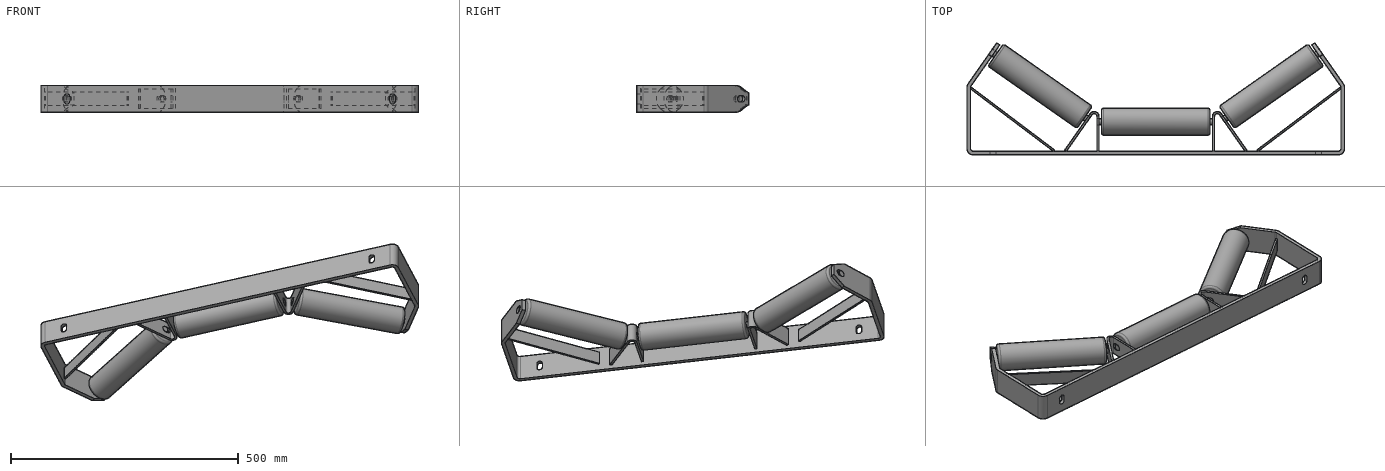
import cadquery as cq
import math

SPAN = 830.0
TILT = 35.0

STRAP_HEIGHT = 60.0
STRAP_THICKNESS = 8.0
STRAP_BEND_RADIUS = 14.0
SHOULDER_Y = 153.0
ARM_TIP_Y = 246.5
TIP_CHAMFER_LENGTH = 31.5
TIP_CHAMFER_HEIGHT = 17.0

MOUNT_SLOT_WIDTH = 12.5
MOUNT_SLOT_LENGTH = 22.0
MOUNT_SLOT_X = 358.0

ROLLER_DIAMETER = 60.0
ROLLER_LENGTH = 239.0
ROLLER_EDGE_RADIUS = 5.0
SHAFT_DIAMETER = 14.0
SHAFT_SLOT_LENGTH = 20.0
ROLLER_GAP = 5.0
CENTER_ROLLER_Y = 73.0
WING_ROLLER_X = 254.0
WING_ROLLER_Y = 151.0

BRACKET_THICKNESS = 5.0
BRACKET_HEIGHT = 42.0
BRACKET_BEND_RADIUS = 11.0

BRACE_THICKNESS = 4.0
BRACE_HEIGHT = 30.0
BRACE_TILT = 37.0
BRACE_FOOT_X = 225.0

WELD_DEPTH = 0.4

SIN = math.sin(math.radians(TILT))
COS = math.cos(math.radians(TILT))
HALF_SPAN = SPAN / 2
ARM_TIP_X = HALF_SPAN - (ARM_TIP_Y - SHOULDER_Y) * SIN / COS
SUPPORT_DISTANCE = ROLLER_LENGTH / 2 + ROLLER_GAP
SLOT_SHIFT = (SHAFT_SLOT_LENGTH - SHAFT_DIAMETER) / 2
CUT_REACH = 1.5 * STRAP_THICKNESS
FLOOR_Y = STRAP_THICKNESS - WELD_DEPTH


def bent_sheet(path, thickness, height, bend_radius=0.0):
    """Sheet with its outer face along an open path, its material on the left of the path.

    The ends are cut square, and every inner corner of the path becomes a bend.
    """
    normals = []
    for (x0, y0), (x1, y1) in zip(path, path[1:]):
        length = math.hypot(x1 - x0, y1 - y0)
        normals.append(((y0 - y1) / length, (x1 - x0) / length))

    inner_path = []
    for (x, y), before, after in zip(path, normals[:1] + normals, normals + normals[-1:]):
        mitre = thickness / (1 + before[0] * after[0] + before[1] * after[1])
        inner_path.append((x + mitre * (before[0] + after[0]), y + mitre * (before[1] + after[1])))

    outline = path + inner_path[::-1]
    sheet = cq.Workplane("XY").polyline(outline).close().extrude(height / 2, both=True)
    for outer, inner in zip(path[1:-1], inner_path[1:-1]):
        for corner, radius in ((outer, bend_radius), (inner, bend_radius - thickness)):
            edge = cq.selectors.NearestToPointSelector((*corner, 0))
            sheet = sheet.edges(edge).fillet(radius)
    return sheet


def both_sides(left):
    """A left-hand feature joined with its mirror image."""
    return left.union(left.mirror("YZ"))


def on_wing(along_axis, across_axis):
    """XY point given along and across the left wing roller axis, from the roller middle."""
    x = -WING_ROLLER_X + along_axis * COS + across_axis * SIN
    y = WING_ROLLER_Y - along_axis * SIN + across_axis * COS
    return (x, y)


def slot_cutter(center, normal, long_direction, length, width):
    """Round-ended slot through a sheet, its middle at the XY point center."""
    plane = cq.Plane(origin=(*center, 0), xDir=long_direction, normal=normal)
    return cq.Workplane(plane).slot2D(length, width).extrude(CUT_REACH, both=True)


def wing_slot_cutter(along_axis):
    """Shaft slot in a support of the left wing roller."""
    center = on_wing(along_axis, SLOT_SHIFT)
    return slot_cutter(center, (COS, -SIN, 0), (SIN, COS, 0), SHAFT_SLOT_LENGTH, SHAFT_DIAMETER)


def strap():
    """Strap bent into a tray with inward leaning arms that end in chamfered tips."""
    path = [
        (-ARM_TIP_X, ARM_TIP_Y),
        (-HALF_SPAN, SHOULDER_Y),
        (-HALF_SPAN, 0),
        (HALF_SPAN, 0),
        (HALF_SPAN, SHOULDER_Y),
        (ARM_TIP_X, ARM_TIP_Y),
    ]
    body = bent_sheet(path, STRAP_THICKNESS, STRAP_HEIGHT, STRAP_BEND_RADIUS)
    body = body.cut(both_sides(tip_chamfer_cutter()))
    mount_center = (-MOUNT_SLOT_X, 0)
    mount_slot = slot_cutter(mount_center, (0, 1, 0), (0, 0, 1), MOUNT_SLOT_LENGTH, MOUNT_SLOT_WIDTH)
    body = body.cut(both_sides(mount_slot))
    return body.cut(both_sides(wing_slot_cutter(-SUPPORT_DISTANCE)))


def tip_chamfer_cutter():
    """Wedges that remove the upper and lower corner of the left arm tip."""
    tip_plane = cq.Plane(origin=(-ARM_TIP_X, ARM_TIP_Y, 0), xDir=(SIN, COS, 0), normal=(-COS, SIN, 0))
    upper_corner = [
        (-TIP_CHAMFER_LENGTH, STRAP_HEIGHT / 2),
        (0, STRAP_HEIGHT / 2),
        (0, STRAP_HEIGHT / 2 - TIP_CHAMFER_HEIGHT),
    ]
    wedge = cq.Workplane(tip_plane).polyline(upper_corner).close().extrude(CUT_REACH, both=True)
    return wedge.union(wedge.mirror("XY"))


def bracket():
    """Left folded bracket that holds the center roller and the inner end of the wing roller."""
    upright_x = -SUPPORT_DISTANCE
    face_x, face_y = on_wing(SUPPORT_DISTANCE, 0)
    crown_y = face_y + (upright_x - face_x) * COS / SIN
    foot_y = FLOOR_Y + BRACKET_THICKNESS * SIN
    foot_x = face_x - (face_y - foot_y) * SIN / COS
    path = [(upright_x, FLOOR_Y), (upright_x, crown_y), (foot_x, foot_y)]
    body = bent_sheet(path, BRACKET_THICKNESS, BRACKET_HEIGHT, BRACKET_BEND_RADIUS)
    slot_center = (upright_x, CENTER_ROLLER_Y + SLOT_SHIFT)
    center_slot = slot_cutter(slot_center, (1, 0, 0), (0, 1, 0), SHAFT_SLOT_LENGTH, SHAFT_DIAMETER)
    body = body.cut(center_slot)
    return body.cut(wing_slot_cutter(SUPPORT_DISTANCE))


def brace():
    """Left diagonal brace from the strap floor to the shoulder bend."""
    head_x = -HALF_SPAN + STRAP_THICKNESS - WELD_DEPTH
    head_y = FLOOR_Y + (-BRACE_FOOT_X - head_x) * math.tan(math.radians(BRACE_TILT))
    path = [(head_x, head_y), (-BRACE_FOOT_X, FLOOR_Y)]
    return bent_sheet(path, BRACE_THICKNESS, BRACE_HEIGHT)


def frame():
    """Strap with the brackets and braces welded into it."""
    return strap().union(both_sides(bracket())).union(both_sides(brace()))


def roller(center, tilt, left_support, right_support):
    """Roller with a shaft that ends flush with the far faces of its two supports."""
    shell_start = -ROLLER_LENGTH / 2
    shell = cq.Workplane("YZ", origin=(shell_start, 0, 0)).circle(ROLLER_DIAMETER / 2).extrude(ROLLER_LENGTH)
    shell = shell.faces("<X or >X").edges().fillet(ROLLER_EDGE_RADIUS)
    shaft_start = -SUPPORT_DISTANCE - left_support
    shaft_length = 2 * SUPPORT_DISTANCE + left_support + right_support
    shaft = cq.Workplane("YZ", origin=(shaft_start, 0, 0)).circle(SHAFT_DIAMETER / 2).extrude(shaft_length)
    return shell.union(shaft).rotate((0, 0, 0), (0, 0, 1), tilt).translate((*center, 0))


def center_roller():
    """Level roller between the two brackets."""
    return roller((0, CENTER_ROLLER_Y), 0, BRACKET_THICKNESS, BRACKET_THICKNESS)


def wing_roller(side):
    """Tilted roller between an arm of the strap and a bracket; side is -1 for left, 1 for right."""
    center = (side * WING_ROLLER_X, WING_ROLLER_Y)
    supports = (STRAP_THICKNESS, BRACKET_THICKNESS) if side < 0 else (BRACKET_THICKNESS, STRAP_THICKNESS)
    return roller(center, side * TILT, *supports)


wing_rollers = [wing_roller(side).val() for side in (-1, 1)]

result = cq.Compound.makeCompound([frame().val(), center_roller().val(), *wing_rollers])